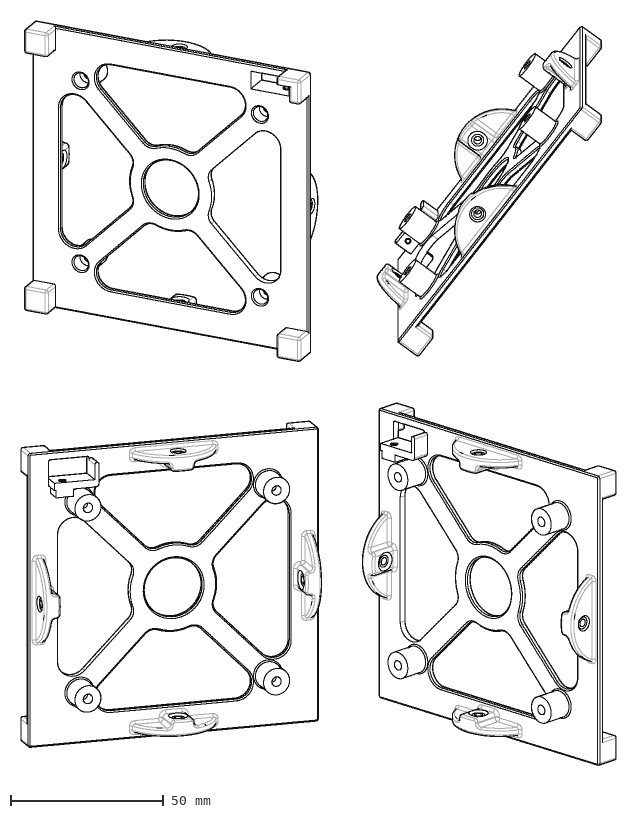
import cadquery as cq
import math

side = 100
half = side / 2
plate_thickness = 2.3
corner_round = 0.8
edge_chamfer = 0.5

window_edge = 40
spoke_width = 7.6
hub_radius = 15
window_corner_round = 5.4
hub_blend_round = 4
center_hole_diameter = 20

standoff_offset = 32.5
standoff_diameter = 9
standoff_height = 8.9
screw_hole_diameter = 3.2
screw_head_diameter = 5.2
screw_mouth_diameter = 6.2
screw_mouth_depth = 0.5
screw_head_depth = 5
base_flare = 0.5

foot_size = 8.5
foot_front = 8.7
foot_round = 0.8

ear_outer_face = 47.8
ear_thickness = 2.8
ear_height = 10.2
ear_radius = 15.5
ear_rim_round = 0.7
ear_base_round = 1
ear_hole_height = 4.7
boss_width = 8
boss_face = 42.3
boss_round = 1.2

insert_diameter = 4
insert_bore = 2.5
insert_mouth = 5.2
boss_mouth = 6.4

slot_left = 29.2
slot_right = 43.1
slot_bottom = 41
slot_top = 47.3
notch_right = 46
slot_round = 0.5
shelf_depth = 6
shelf_thickness = 2.5
wall_thickness = 1.5
wall_top = 46.8
wall_top_round = 0.7
shelf_corner_round = 1.1
small_boss_width = 6
small_boss_bottom = 36
small_insert_x = 39.5
small_insert_y = 3.4
small_insert_diameter = 1.9
small_insert_bore = 1.3
small_insert_mouth = 2.5
small_sink = (small_insert_mouth - small_insert_diameter) / 2

slot_corner = (1, 1)
corner_signs = [(sx, sz) for sx in (-1, 1) for sz in (-1, 1)]
overlap = 1
margin = 0.1


def block(x_range, y_range, z_range):
    """Box between the given limits."""
    lows, highs = zip(x_range, y_range, z_range)
    sizes = [high - low for low, high in zip(lows, highs)]
    return cq.Workplane("XY").box(*sizes, centered=False).translate(lows)


def rod(diameter, y_start, y_end, x=0, z=0):
    """Cylinder along Y."""
    start = cq.Vector(x, y_start, z)
    return cq.Workplane(cq.Solid.makeCylinder(diameter / 2, y_end - y_start, start, cq.Vector(0, 1, 0)))


def upright_rod(diameter, z_start, z_end, x, y):
    """Cylinder along Z."""
    return cq.Workplane(cq.Solid.makeCylinder(diameter / 2, z_end - z_start, cq.Vector(x, y, z_start)))


def upright_cone(start_diameter, end_diameter, z_start, z_end, x, y):
    """Cone along Z."""
    cone = cq.Solid.makeCone(start_diameter / 2, end_diameter / 2, z_end - z_start, cq.Vector(x, y, z_start))
    return cq.Workplane(cone)


def about_y(shape, angle):
    """Shape turned about the Y axis."""
    return shape.rotate((0, 0, 0), (0, 1, 0), angle)


def window():
    """Opening between two spokes, the rim and the hub, on the +Z side."""
    spoke_shift = spoke_width / 2 * math.sqrt(2)
    reach = window_edge - spoke_shift
    wedge = (
        cq.Workplane("XZ")
        .polyline([(0, spoke_shift), (reach, window_edge), (-reach, window_edge)])
        .close()
        .extrude(plate_thickness)
    )
    opening = wedge.cut(rod(2 * hub_radius, -plate_thickness, 0))
    near_hub = cq.selectors.BoxSelector((-hub_radius, -half, 0), (hub_radius, half, hub_radius))
    opening = opening.edges("|Y and >Z").fillet(window_corner_round)
    return opening.edges(near_hub).edges("|Y").fillet(hub_blend_round)


def plate():
    """Frame with four windows and the central hole. The edges are chamfered, except at the +X window."""
    body = block((-half, half), (-plate_thickness, 0), (-half, half)).edges("|Y").fillet(corner_round)
    for quarter in (0, 2, 3):
        body = body.cut(about_y(window(), 90 * quarter))
    body = body.cut(rod(center_hole_diameter, -plate_thickness, 0))
    body = body.faces("<Y or >Y").edges().chamfer(edge_chamfer)
    return body.cut(about_y(window(), 90))


def foot(sx, sz):
    """Square foot in front of one plate corner, notched to an L beside the slot."""
    x_range = sorted((sx * half, sx * (half - foot_size)))
    z_range = sorted((sz * half, sz * (half - foot_size)))
    body = block(x_range, (-foot_front, -edge_chamfer), z_range)
    if (sx, sz) == slot_corner:
        body = body.cut(block((0, notch_right), (-foot_front, 0), (0, slot_top)))
    notch_ceiling = cq.selectors.BoxSelector(
        (half - foot_size - margin, -half, slot_top - margin), (notch_right + margin, half, slot_top + margin)
    )
    rounded = body.edges(cq.selectors.StringSyntaxSelector("|Y or <Y") - notch_ceiling)
    return rounded.fillet(foot_round)


def standoff(x, z):
    """Round standoff with a flared base."""
    flare = cq.Solid.makeCone(
        standoff_diameter / 2 + base_flare, standoff_diameter / 2, base_flare,
        cq.Vector(x, 0, z), cq.Vector(0, 1, 0),
    )
    return rod(standoff_diameter, -overlap, standoff_height, x, z).union(cq.Workplane(flare))


def screw_hole(x, z):
    """Through hole from a chamfered screw-head recess in the front, with a conical seat."""
    bore, head, mouth = (d / 2 for d in (screw_hole_diameter, screw_head_diameter, screw_mouth_diameter))
    mouth_end = -plate_thickness + screw_mouth_depth
    head_end = -plate_thickness + screw_head_depth
    seat_end = head_end + head - bore
    return (
        cq.Workplane("XY")
        .polyline([
            (0, -plate_thickness), (mouth, -plate_thickness), (head, mouth_end), (head, head_end),
            (bore, seat_end), (bore, standoff_height), (0, standoff_height),
        ])
        .close()
        .revolve()
        .translate((x, 0, z))
    )


def ear():
    """Ear on the +Z side: a rounded disc segment, thickened to a boss in the middle, with a blended base."""
    inner_face = ear_outer_face - ear_thickness
    boss_edge = boss_width / 2
    outline = (
        cq.Workplane("XZ")
        .polyline([
            (-ear_radius, ear_outer_face),
            (ear_radius, ear_outer_face),
            (ear_radius, inner_face),
            (boss_edge, inner_face),
            (boss_edge, boss_face),
            (-boss_edge, boss_face),
            (-boss_edge, inner_face),
            (-ear_radius, inner_face),
        ])
        .close()
        .extrude(-ear_height)
    )
    boss_edges = cq.selectors.BoxSelector(
        (-boss_edge - margin, -half, boss_face - margin), (boss_edge + margin, half, inner_face + margin)
    )
    outline = outline.edges("|Y").edges(boss_edges).fillet(boss_round)
    disc = upright_rod(2 * ear_radius, boss_face, ear_outer_face, 0, ear_height - ear_radius)
    body = outline.intersect(disc)

    rim = cq.selectors.BoxSelector((-half, margin, 0), (half, half, half))
    body = body.edges(rim).edges("not |Y").fillet(ear_rim_round)

    seat_margin = ear_base_round + 2 * margin
    seat_reach = ear_radius + seat_margin
    seat_z_range = (boss_face - seat_margin, ear_outer_face + seat_margin)
    seat = block((-seat_reach, seat_reach), (-overlap, 0), seat_z_range)
    base = cq.selectors.BoxSelector(
        (-ear_radius, -margin, boss_face - margin), (ear_radius, margin, ear_outer_face + margin)
    )
    return body.union(seat).edges(base).fillet(ear_base_round)


def ear_hole():
    """Insert hole through an ear and its boss, with a countersink at both ends."""
    sink = (insert_mouth - insert_diameter) / 2
    hole = upright_rod(insert_diameter, boss_face, ear_outer_face, 0, ear_hole_height)
    outer_sink = upright_cone(
        insert_diameter, insert_mouth, ear_outer_face - sink, ear_outer_face, 0, ear_hole_height
    )
    inner_sink = upright_cone(boss_mouth, insert_diameter, boss_face, boss_face + sink, 0, ear_hole_height)
    return hole.union(outer_sink).union(inner_sink)


def ear_insert():
    """Threaded insert between the two countersinks of an ear hole."""
    sink = (insert_mouth - insert_diameter) / 2
    ends = (boss_face + sink, ear_outer_face - sink, 0, ear_hole_height)
    return upright_rod(insert_diameter, *ends).cut(upright_rod(insert_bore, *ends))


def slot_shelf():
    """Shelf under the slot, the wall at its end and the boss for the small insert."""
    wall_left = slot_left - wall_thickness
    shelf_bottom = slot_bottom - shelf_thickness
    y_range = (-overlap, shelf_depth)
    shelf = block((wall_left, slot_right), y_range, (shelf_bottom, slot_bottom))
    wall = block((wall_left, slot_left), y_range, (shelf_bottom, wall_top))
    corner = shelf.union(wall).edges("|Y and <X and <Z").fillet(shelf_corner_round)
    corner = corner.edges("|Y and >Z").fillet(wall_top_round)
    boss_left = small_insert_x - small_boss_width / 2
    boss = block((boss_left, boss_left + small_boss_width), y_range, (small_boss_bottom, slot_bottom))
    return corner.union(boss)


def slot():
    """Slot through the plate with rounded upper corners."""
    cutter = block((slot_left, slot_right), (-foot_front, shelf_depth), (slot_bottom, slot_top))
    return cutter.edges("|Y and >Z").fillet(slot_round)


def small_insert_hole():
    """Hole for the small insert, countersunk at the shelf."""
    place = (small_insert_x, small_insert_y)
    hole = upright_rod(small_insert_diameter, small_boss_bottom, slot_bottom, *place)
    sink = upright_cone(small_insert_diameter, small_insert_mouth, slot_bottom - small_sink, slot_bottom, *place)
    return hole.union(sink)


def small_insert():
    """Small threaded insert below the shelf countersink."""
    ends = (small_boss_bottom, slot_bottom - small_sink, small_insert_x, small_insert_y)
    return upright_rod(small_insert_diameter, *ends).cut(upright_rod(small_insert_bore, *ends))


def frame():
    """Plate with its feet, standoffs, slot shelf and ears, and all their holes."""
    body = plate()
    for sx, sz in corner_signs:
        body = body.union(foot(sx, sz))
        body = body.union(standoff(sx * standoff_offset, sz * standoff_offset))
    body = body.union(slot_shelf()).cut(slot()).cut(small_insert_hole())
    for sx, sz in corner_signs:
        body = body.cut(screw_hole(sx * standoff_offset, sz * standoff_offset))
    for quarter in range(4):
        body = body.union(about_y(ear(), 90 * quarter)).cut(about_y(ear_hole(), 90 * quarter))
    return body


ear_inserts = [about_y(ear_insert(), 90 * quarter) for quarter in range(4)]
result = cq.Compound.makeCompound(
    [frame().val(), *[insert.val() for insert in ear_inserts], small_insert().val()]
)